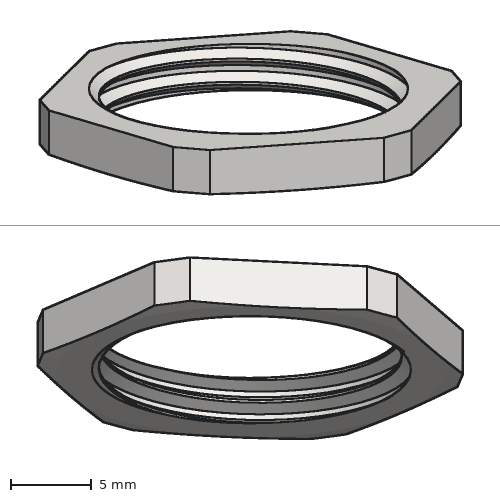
import cadquery as cq
import math

ACROSS_FLATS = 24.0
ACROSS_CORNERS = 26.35
THICKNESS = 3.0

CHAMFER_RISE = 0.13

BORE_RADIUS = 9.4
PITCH = 1.5
FLANK_TAN = math.tan(math.radians(30))
ROOT_WIDTH = PITCH / 4
CREST_WIDTH = PITCH / 8
THREAD_DEPTH = (PITCH - ROOT_WIDTH - CREST_WIDTH) / (2 * FLANK_TAN)
ROOT_ANGLE_AT_TOP = 122.0
INNER_OVERLAP = 0.13
CUTTER_TURNS = 4


def hexagonal_plate():
    """Hexagon with its six corners trimmed by a second, turned hexagon."""
    circumscribed_factor = 1 / math.cos(math.pi / 6)
    trim = cq.Workplane("XY").polygon(6, ACROSS_CORNERS * circumscribed_factor).extrude(THICKNESS)
    flats = (
        cq.Workplane("XY")
        .polygon(6, ACROSS_FLATS * circumscribed_factor)
        .extrude(THICKNESS)
        .rotate((0, 0, 0), (0, 0, 1), 30)
    )
    return flats.intersect(trim)


def chamfer_envelope():
    """Round envelope whose lower end is a shallow cone."""
    inner_radius = ACROSS_FLATS / 2
    corner_radius = ACROSS_CORNERS / 2
    slope = CHAMFER_RISE / (corner_radius - inner_radius)
    outer_radius = ACROSS_CORNERS
    cone_top = slope * (outer_radius - inner_radius)
    return (
        cq.Workplane("XZ")
        .polyline([
            (0, 0),
            (inner_radius, 0),
            (outer_radius, cone_top),
            (outer_radius, THICKNESS),
            (0, THICKNESS),
        ])
        .close()
        .revolve(360, (0, 0), (0, 1))
    )


def thread_groove():
    """Trapezoidal helical groove running out past both faces."""
    inner_radius = BORE_RADIUS - INNER_OVERLAP
    root_radius = BORE_RADIUS + THREAD_DEPTH
    half_root = ROOT_WIDTH / 2
    half_mouth = half_root + (root_radius - inner_radius) * FLANK_TAN
    helix = cq.Wire.makeHelix(PITCH, CUTTER_TURNS * PITCH, BORE_RADIUS)
    groove = (
        cq.Workplane("XZ")
        .polyline([
            (inner_radius, -half_mouth),
            (root_radius, -half_root),
            (root_radius, half_root),
            (inner_radius, half_mouth),
        ])
        .close()
        .sweep(cq.Workplane(obj=helix), isFrenet=True)
    )
    turns_below_top = CUTTER_TURNS - 1
    return groove.rotate((0, 0, 0), (0, 0, 1), ROOT_ANGLE_AT_TOP).translate(
        (0, 0, THICKNESS - turns_below_top * PITCH)
    )


bore = cq.Workplane("XY").circle(BORE_RADIUS).extrude(THICKNESS)
result = hexagonal_plate().intersect(chamfer_envelope()).cut(bore).cut(thread_groove())